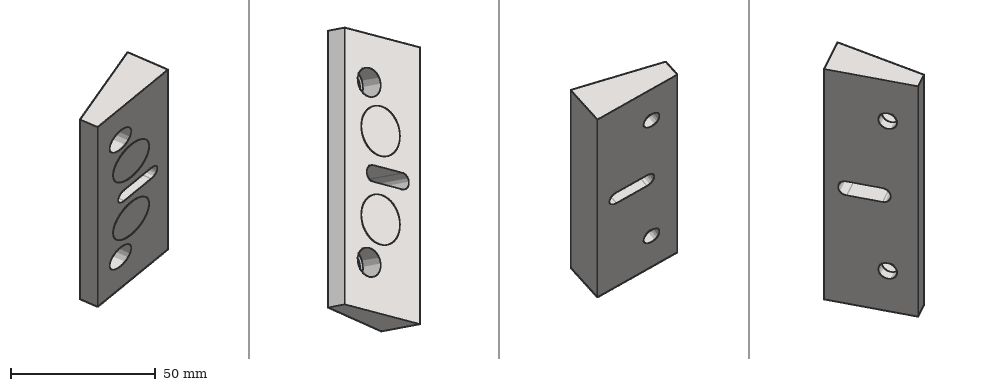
import cadquery as cq
import math

length = 100
depth = 34
thick_end = 16
thin_end = 7
slope = (thick_end - thin_end) / depth

hole_diameter = 6.7
hole_y = 11
hole_offset_z = 32.5
counterbore_diameter = 10.4
counterbore_floor_x = 4

slot_length = 19
slot_width = 6
slot_y = 19.4

recess_diameter = 18
recess_depth = 0.1
recess_tilt = math.radians(15)
recess_clearance = 1
recess_y = 16.2
recess_offset_z = 16


def wedge():
    profile = [(0, 0), (thin_end, 0), (thick_end, depth), (0, depth)]
    return cq.Workplane("XY").polyline(profile).close().extrude(length / 2, both=True)


def cylinder_along_x(diameter, start_x, y, z):
    plane = cq.Workplane("YZ", origin=(start_x, y, z))
    return plane.circle(diameter / 2).extrude(thick_end)


def screw_hole(z):
    hole = cylinder_along_x(hole_diameter, 0, hole_y, z)
    return hole.union(cylinder_along_x(counterbore_diameter, counterbore_floor_x, hole_y, z))


def slot():
    plane = cq.Workplane("YZ", origin=(0, slot_y, 0))
    return plane.slot2D(slot_length, slot_width).extrude(thick_end)


def recess(z):
    center = cq.Vector(thin_end + recess_y * slope, recess_y, z)
    inward = cq.Vector(-math.cos(recess_tilt), math.sin(recess_tilt), 0)
    start = center - inward * recess_clearance
    height = recess_depth + recess_clearance
    return cq.Solid.makeCylinder(recess_diameter / 2, height, start, inward)


result = wedge().cut(slot())
for side in (-1, 1):
    result = result.cut(screw_hole(side * hole_offset_z))
    result = result.cut(recess(side * recess_offset_z))